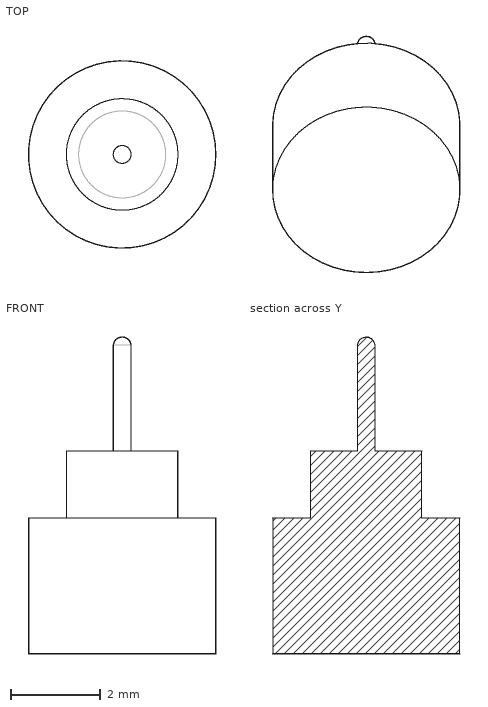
import cadquery as cq

body_diameter = 4.2
body_height = 3.05
neck_diameter = 2.5
neck_height = 1.5
insulator_diameter = 1.95
pin_diameter = 0.4
pin_length = 2.55
pin_tip_height = 0.18

neck_top = body_height + neck_height
pin_top = neck_top + pin_length


def make_shell():
    """Wide lower cylinder and a narrow neck, with the insulator's bore in the neck."""
    body = cq.Workplane("XY").circle(body_diameter / 2).extrude(body_height)
    neck = (
        cq.Workplane("XY", origin=(0, 0, body_height))
        .circle(neck_diameter / 2)
        .circle(insulator_diameter / 2)
        .extrude(neck_height)
    )
    return body.union(neck)


def make_insulator():
    """Plug that fills the neck bore flush with the rim."""
    return (
        cq.Workplane("XY", origin=(0, 0, body_height))
        .circle(insulator_diameter / 2)
        .extrude(neck_height)
    )


def make_pin():
    """Centre pin revolved from its half profile, with a domed spherical tip."""
    pin_radius = pin_diameter / 2
    shoulder = pin_top - pin_tip_height
    dome_radius = (pin_radius**2 + pin_tip_height**2) / (2 * pin_tip_height)
    return (
        cq.Workplane("XZ")
        .moveTo(0, body_height)
        .lineTo(pin_radius, body_height)
        .lineTo(pin_radius, shoulder)
        .radiusArc((0, pin_top), -dome_radius)
        .close()
        .revolve(360, (0, 0, 0), (0, 1, 0))
    )


result = make_shell().union(make_insulator(), clean=False).union(make_pin(), clean=False)